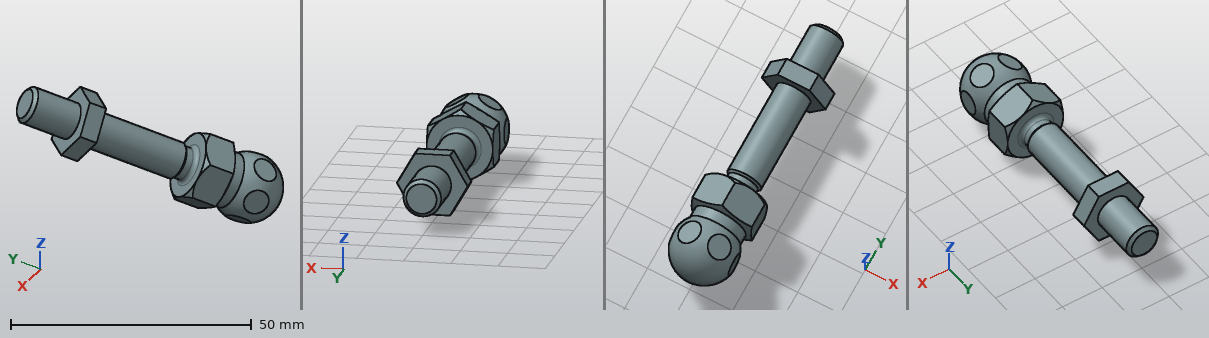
import cadquery as cq
import math


stud_radius = 4.0
stud_end_chamfer = 0.8
stud_length = 37.0
relief_radius = 3.5
relief_chamfer = stud_radius - relief_radius
relief_fillet = 1.0

collar_across_flats = 14.0
collar_length = 7.5
collar_start = 40.0
stud_side_chamfer_angle = 45.0
ball_side_chamfer_angle = 20.0

neck_radius = 6.0
neck_end = 50.0
ball_radius = 7.5

nut_across_flats = 13.0
nut_thickness = 4.0
nut_start = 11.25

corner_up = 90
corner_sideways = 0

hex_flat_ratio = math.cos(math.pi / 6)
collar_end = collar_start + collar_length
collar_flat_radius = collar_across_flats / 2
collar_corner_radius = collar_flat_radius / hex_flat_ratio
ball_center = neck_end + math.sqrt(ball_radius**2 - neck_radius**2)
ball_tip = ball_center + ball_radius
relief_end = collar_start - relief_fillet


def hex_prism(across_flats, start, length, corner_angle):
    """Hexagonal prism along -Y with one corner at corner_angle from +X."""
    across_corners = across_flats / hex_flat_ratio
    return (
        cq.Workplane("XZ", origin=(0, -start, 0))
        .transformed(rotate=(0, 0, corner_angle))
        .polygon(6, across_corners)
        .extrude(length)
    )


def revolve_about_y(profile):
    """Close a half profile drawn from the axis and turn it into a solid of revolution."""
    return profile.close().revolve(360, (0, 0, 0), (0, 1, 0))


def make_stud():
    """Round stud with a chamfered end and a filleted relief next to the collar."""
    fillet_middle = relief_fillet * math.sqrt(0.5)
    fillet_radius_end = relief_radius + relief_fillet
    profile = (
        cq.Workplane("XY")
        .lineTo(stud_radius - stud_end_chamfer, 0)
        .lineTo(stud_radius, -stud_end_chamfer)
        .lineTo(stud_radius, -stud_length)
        .lineTo(relief_radius, -stud_length - relief_chamfer)
        .lineTo(relief_radius, -relief_end)
        .threePointArc(
            (fillet_radius_end - fillet_middle, -relief_end - fillet_middle),
            (fillet_radius_end, -collar_start),
        )
        .lineTo(0, -collar_start)
    )
    return revolve_about_y(profile)


def make_collar():
    """Hexagonal collar with its corners turned down by a cone at each end."""
    stud_side_drop = (collar_corner_radius - collar_flat_radius) * math.tan(
        math.radians(stud_side_chamfer_angle)
    )
    ball_side_drop = (collar_corner_radius - neck_radius) * math.tan(
        math.radians(ball_side_chamfer_angle)
    )
    envelope = revolve_about_y(
        cq.Workplane("XY")
        .moveTo(0, -collar_start)
        .lineTo(collar_flat_radius, -collar_start)
        .lineTo(collar_corner_radius, -collar_start - stud_side_drop)
        .lineTo(collar_corner_radius, -collar_end + ball_side_drop)
        .lineTo(neck_radius, -collar_end)
        .lineTo(0, -collar_end)
    )
    return hex_prism(collar_across_flats, collar_start, collar_length, corner_up).intersect(envelope)


def make_ball():
    """Neck and ball, with six round flats in line with the collar flats."""
    neck_and_ball = revolve_about_y(
        cq.Workplane("XY")
        .moveTo(0, -collar_end)
        .lineTo(neck_radius, -collar_end)
        .lineTo(neck_radius, -neck_end)
        .threePointArc((ball_radius, -ball_center), (0, -ball_tip))
    )
    flats = hex_prism(collar_across_flats, collar_end, ball_tip - collar_end, corner_up)
    return neck_and_ball.intersect(flats)


def make_nut():
    """Plain hexagonal nut bored to fit the stud."""
    bore = cq.Workplane("XZ", origin=(0, -nut_start, 0)).circle(stud_radius).extrude(nut_thickness)
    return hex_prism(nut_across_flats, nut_start, nut_thickness, corner_sideways).cut(bore)


ball_stud = make_stud().union(make_collar()).union(make_ball())
nut = make_nut()

result = cq.Compound.makeCompound([ball_stud.val(), nut.val()])